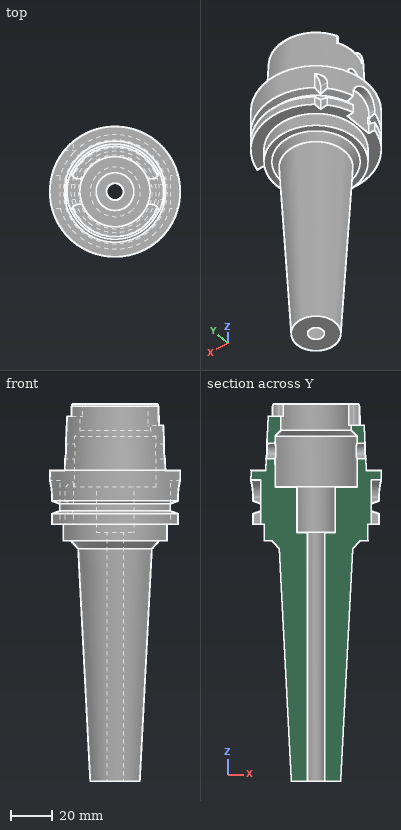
import cadquery as cq

total_length = 182.0
taper_length = 32.0
flange_height = 26.0
collar_height = 8.0
shoulder_height = 3.8
face_z = total_length - taper_length
flange_bottom_z = face_z - flange_height
collar_bottom_z = flange_bottom_z - collar_height
shank_top_z = collar_bottom_z - shoulder_height

flange_radius = 31.5
taper_base_radius = 24.4
taper_top_radius = 23.0
rim_chamfer_width = 1.1
rim_chamfer_height = 1.1
collar_radius = 25.1
shoulder_radius = 21.3
shank_top_radius = 17.8
shank_tip_radius = 12.0

groove_radius = 27.7
groove_floor_height = 3.3
groove_floor_offset = 6.5
groove_flank_height = 1.5
groove_floor_bottom_z = flange_bottom_z + groove_floor_offset
groove_floor_top_z = groove_floor_bottom_z + groove_floor_height

mouth_radius = 17.0
mouth_depth = 12.7
cavity_radius = 19.7
undercut_height = 2.7
cavity_floor_z = 142.0
thread_radius = 9.1
thread_depth = 21.8
tool_bore_radius = 4.0

rim_slot_width = 12.4
rim_slot_depths = {-1: 5.8, 1: 10.2}
rim_slot_flare = 3.1

cross_hole_diameter = 7.3
cross_hole_z = 159.2

keyway_width = 15.8
keyway_floor_x = 26.8
keyway_top_z = 145.2
notch_width = 10.5
notch_edge = 20.0
notch_top_z = 144.7


def outer_body():
    """Taper, grooved flange, collar and tapered shank."""
    profile = [
        (0, 0),
        (shank_tip_radius, 0),
        (shank_top_radius, shank_top_z),
        (shoulder_radius, collar_bottom_z),
        (collar_radius, collar_bottom_z),
        (collar_radius, flange_bottom_z),
        (flange_radius, flange_bottom_z),
        (flange_radius, groove_floor_bottom_z - groove_flank_height),
        (groove_radius, groove_floor_bottom_z),
        (groove_radius, groove_floor_top_z),
        (flange_radius, groove_floor_top_z + groove_flank_height),
        (flange_radius, face_z),
        (taper_base_radius, face_z),
        (taper_top_radius, total_length - rim_chamfer_height),
        (taper_top_radius - rim_chamfer_width, total_length),
        (0, total_length),
    ]
    return cq.Workplane("XZ").polyline(profile).close().revolve(360, (0, 0), (0, 1))


def inner_bore():
    """Stepped cavity with an undercut below its mouth, and the through bore."""
    mouth_bottom_z = total_length - mouth_depth
    thread_bottom_z = cavity_floor_z - thread_depth
    profile = [
        (0, 0),
        (tool_bore_radius, 0),
        (tool_bore_radius, thread_bottom_z),
        (thread_radius, thread_bottom_z),
        (thread_radius, cavity_floor_z),
        (cavity_radius, cavity_floor_z),
        (cavity_radius, mouth_bottom_z - undercut_height),
        (mouth_radius, mouth_bottom_z),
        (mouth_radius, total_length),
        (0, total_length),
    ]
    return cq.Workplane("XZ").polyline(profile).close().revolve(360, (0, 0), (0, 1))


def rim_slot(side, depth):
    """Slot open at the top whose walls flare outward in quarter arcs near the taper surface."""
    half_width = rim_slot_width / 2
    flared_half = half_width + rim_slot_flare
    flare_end_x = (taper_top_radius**2 - flared_half**2) ** 0.5
    flare_start_x = flare_end_x - rim_slot_flare
    arc_step = rim_slot_flare * 0.5**0.5
    arc_x = flare_start_x + arc_step
    arc_y = flared_half - arc_step
    return (
        cq.Workplane("XY", origin=(0, 0, total_length - depth))
        .moveTo(0, -half_width)
        .lineTo(side * flare_start_x, -half_width)
        .threePointArc((side * arc_x, -arc_y), (side * flare_end_x, -flared_half))
        .lineTo(side * flange_radius, -flared_half)
        .lineTo(side * flange_radius, flared_half)
        .lineTo(side * flare_end_x, flared_half)
        .threePointArc((side * arc_x, arc_y), (side * flare_start_x, half_width))
        .lineTo(0, half_width)
        .close()
        .extrude(depth)
    )


def flange_slot(side, floor_x, center_y, width, top_z):
    """Round-topped slot, open at the flange bottom, cut inward to a flat floor at floor_x."""
    radius = width / 2
    return (
        cq.Workplane("YZ", origin=(side * floor_x, 0, 0))
        .moveTo(center_y - radius, flange_bottom_z)
        .lineTo(center_y - radius, top_z - radius)
        .threePointArc((center_y, top_z), (center_y + radius, top_z - radius))
        .lineTo(center_y + radius, flange_bottom_z)
        .close()
        .extrude(side * flange_radius)
    )


result = outer_body().cut(inner_bore())

for side, depth in rim_slot_depths.items():
    result = result.cut(rim_slot(side, depth))
    result = result.cut(flange_slot(side, keyway_floor_x, 0, keyway_width, keyway_top_z))

notch_center_y = notch_edge + notch_width / 2
result = result.cut(flange_slot(-1, notch_edge, notch_center_y, notch_width, notch_top_z))

cross_hole = (
    cq.Workplane("YZ")
    .center(0, cross_hole_z)
    .circle(cross_hole_diameter / 2)
    .extrude(flange_radius, both=True)
)
result = result.cut(cross_hole)